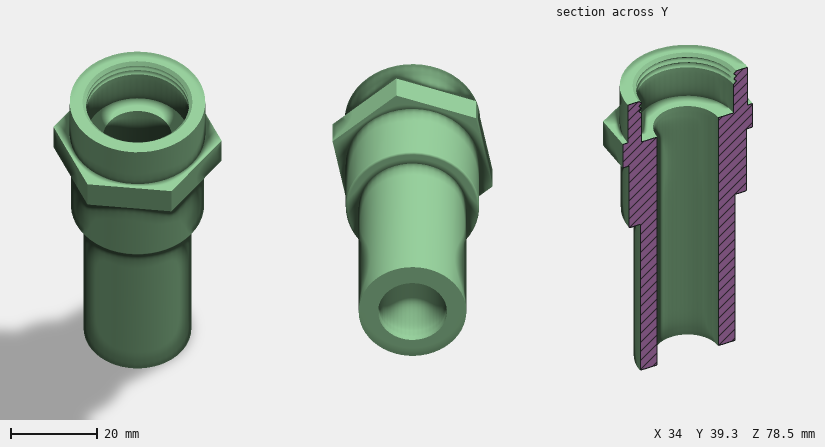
import cadquery as cq

total_height = 78.5
tail_length = 42.5
hex_height = 7.0
collar_height = 11.0
hex_base = total_height - collar_height - hex_height

tail_diameter = 25.0
body_diameter = 31.0
collar_diameter = 31.5
hex_across_flats = 34.0
body_fillet = 0.5

bore_diameter = 16.0
socket_diameter = 24.0
socket_depth = 12.0

thread_depth = 0.75
thread_pitch = 2 * thread_depth
thread_crests = 3


def cylinder(diameter, base, height):
    """Solid cylinder on the Z axis, standing at height `base`."""
    return cq.Workplane("XY").workplane(offset=base).circle(diameter / 2).extrude(height)


def make_tail():
    return cylinder(tail_diameter, 0, tail_length)


def make_body():
    """Plain barrel under the hexagon, rounded at its lower end."""
    body = cylinder(body_diameter, tail_length, hex_base - tail_length)
    return body.faces("<Z").edges().fillet(body_fillet)


def make_hexagon():
    """Hexagonal grip with two flats facing along X."""
    return (
        cq.Workplane("XY")
        .workplane(offset=hex_base)
        .polygon(6, hex_across_flats, circumscribed=True)
        .extrude(hex_height)
    )


def make_collar():
    return cylinder(collar_diameter, total_height - collar_height, collar_height)


def make_cavity():
    """Through bore, wider socket and its thread grooves, as one revolved profile."""
    bore_radius = bore_diameter / 2
    crest_radius = socket_diameter / 2
    root_radius = crest_radius + thread_depth
    socket_floor = total_height - socket_depth

    profile = (
        cq.Workplane("XZ")
        .lineTo(bore_radius, 0)
        .lineTo(bore_radius, socket_floor)
        .lineTo(crest_radius, socket_floor)
    )
    for groove in reversed(range(thread_crests)):
        root_height = total_height - groove * thread_pitch
        profile = profile.lineTo(crest_radius, root_height - thread_depth)
        profile = profile.lineTo(root_radius, root_height)
    profile = profile.lineTo(0, total_height).close()
    return profile.revolve(360, (0, 0, 0), (0, 1, 0))


outside = make_tail().union(make_body()).union(make_hexagon()).union(make_collar())
result = outside.cut(make_cavity())